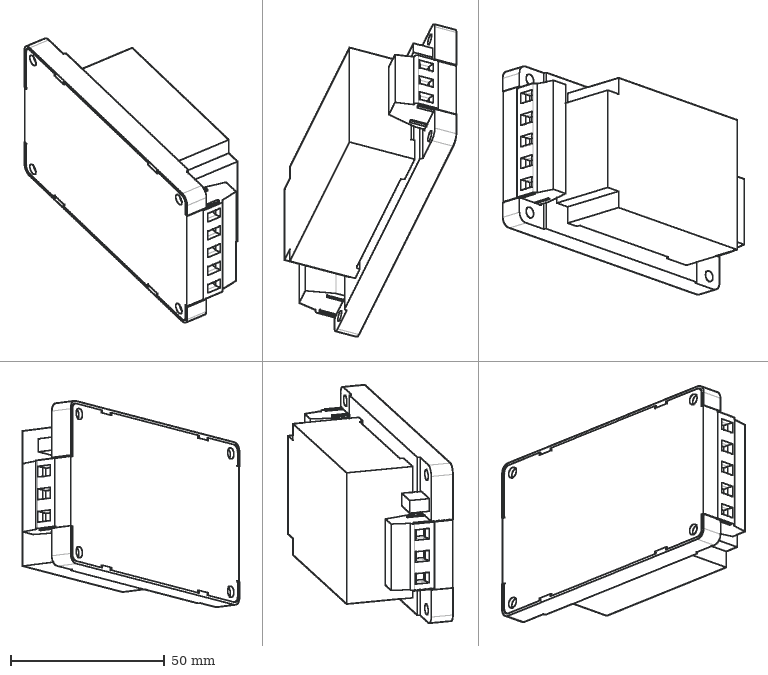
import cadquery as cq


LENGTH = 96.1
HEIGHT = 54.0
TOTAL_DEPTH = 31.0
CORNER_RADIUS = 3.0
END_DEPTH = 7.5
BASE_DEPTH = 8.4
RAISED_HALF_FOOT = 36.4
RAISED_HALF_TOP = 36.0

BOX_LEFT = -31.1
BOX_STEP = 25.85
BOX_RIGHT = 31.0
BOX_HEIGHT = 44.9
STEP_HEIGHT = 33.6
VENT_DEPTH = 1.25
VENT_HALF_FOOT = 21.6
VENT_HALF_TOP = 21.1
SLIT_HEIGHT = 26.9
SLIT_INSET = 1.0
SLIT_RIB_RADIUS = 0.6
SLIT_RIB_Z = 10.0

COVER_THICKNESS = 1.4
RIM = 0.9
SIDE_GAP = 0.3
COVER_CORNER_RADIUS = CORNER_RADIUS - RIM
APRON_INSET = 0.2
APRON_INNER = LENGTH / 2 - RIM - SIDE_GAP
APRON_DEPTH = 6.3
OPENING_GAP = 0.3
CLIP_X = 27.5
CLIP_NECK_WIDTH = 4.9
CLIP_HEAD_WIDTH = 5.7
CLIP_STEP = 0.43

SCREW_DIAMETER = 3.6
SCREW_X = 43.1
SCREW_Z = 23.0

POLE_PITCH = 7.5
END_WALL = 0.1
LEFT_POLES = 3
RIGHT_POLES = 5
LEFT_CENTER_Z = -3.1
RIGHT_CENTER_Z = 0.1
BLOCK_INNER = 37.7
BLOCK_TOP_INNER = 40.0
BLOCK_TOP_OUTER = 45.8
BLOCK_SHOULDER = 47.0
BLOCK_OUTER = LENGTH / 2
BLOCK_BACK = 20.6
INNER_SLOPE_START = 10.8
SHOULDER_DEPTH = 14.4
SHOULDER_RADIUS = BLOCK_OUTER - BLOCK_SHOULDER
TONGUE_XS = (39.9, 46.9)
TONGUE_WIDTH = 0.9
TONGUE_HEIGHT = 0.5
TONGUE_BACK = 13.1
WIRE_HOLE_Y = 10.6
MOUTH_SIZE = (4.9, 3.6)
BORE_SIZE = (3.2, 3.1)
FUNNEL_LENGTH = 1.4
BORE_LENGTH = 1.9

CONNECTOR_LEFT = -46.0
CONNECTOR_RIGHT = -37.6
CONNECTOR_BOTTOM = 11.4
CONNECTOR_TOP = 15.8
CONNECTOR_BACK = 14.2


def block(x0, x1, y0, y1, z0, z1):
    """Box between two corners, given as pairs of limits along X, Y and Z."""
    return cq.Workplane("XY").box(x1 - x0, y1 - y0, z1 - z0, centered=False).translate((x0, y0, z0))


def centered_block(length, y0, y1, height):
    """Box centered on X = 0 and Z = 0."""
    return block(-length / 2, length / 2, y0, y1, -height / 2, height / 2)


def trapezoid_bar(half_foot, half_top, y_foot, y_top, height):
    """Bar of trapezoid section, running along Z and centered on Z = 0."""
    return (
        cq.Workplane("XY", origin=(0, 0, -height / 2))
        .polyline([(-half_foot, y_foot), (half_foot, y_foot), (half_top, y_top), (-half_top, y_top)])
        .close()
        .extrude(height)
    )


def screw_holes(depth):
    """Four round cutters at the corners, starting at the front face."""
    return (
        cq.Workplane("XZ")
        .rect(2 * SCREW_X, 2 * SCREW_Z, forConstruction=True)
        .vertices()
        .circle(SCREW_DIAMETER / 2)
        .extrude(-depth)
    )


def block_limits(poles, center_z):
    """Bottom and top of a terminal block, without its tongues."""
    half = poles * POLE_PITCH / 2 + END_WALL
    return center_z - half, center_z + half


def apron(poles, center_z, outer):
    """Left-hand strip that closes the end opening in front of a terminal block."""
    bottom, top = block_limits(poles, center_z)
    return block(-outer, -APRON_INNER, 0, APRON_DEPTH, bottom - TONGUE_HEIGHT, top)


def block_opening(poles, center_z):
    """Left-hand cutter for a terminal block, its tongues and the apron in front of it."""
    bottom, top = block_limits(poles, center_z)
    z0 = bottom - TONGUE_HEIGHT
    z1 = top + OPENING_GAP
    seat = block(-BLOCK_OUTER, -BLOCK_INNER, APRON_DEPTH, BASE_DEPTH, z0, z1)
    return seat.union(block(-LENGTH / 2, -APRON_INNER, 0, APRON_DEPTH, z0, z1))


def right_hand(shape):
    """Half turn about the Y axis, from the left end to the right end."""
    return shape.rotate((0, 0, 0), (0, 1, 0), 180)


def clips():
    """Four T-shaped clips that reach from the rim into the cover."""
    rim_z = HEIGHT / 2 - RIM
    bodies = cq.Workplane("XZ")
    for x in (-CLIP_X, CLIP_X):
        for side in (-1, 1):
            neck_z = side * (rim_z - CLIP_STEP / 2)
            head_z = side * (rim_z - CLIP_STEP * 3 / 2)
            neck = cq.Workplane("XZ").center(x, neck_z).rect(CLIP_NECK_WIDTH, CLIP_STEP)
            head = cq.Workplane("XZ").center(x, head_z).rect(CLIP_HEAD_WIDTH, CLIP_STEP)
            bodies = bodies.union(neck.extrude(-COVER_THICKNESS)).union(head.extrude(-COVER_THICKNESS))
    return bodies


def cover_plate(length):
    """Rounded plate inside the rim."""
    plate = centered_block(length, 0, COVER_THICKNESS, HEIGHT - 2 * RIM)
    return plate.edges("|Y").fillet(COVER_CORNER_RADIUS)


def make_housing():
    body = centered_block(LENGTH, 0, END_DEPTH, HEIGHT).edges("|Y").fillet(CORNER_RADIUS)
    body = body.union(trapezoid_bar(RAISED_HALF_FOOT, RAISED_HALF_TOP, END_DEPTH, BASE_DEPTH, HEIGHT))

    half_box = BOX_HEIGHT / 2
    half_step = STEP_HEIGHT / 2
    body = body.union(block(BOX_LEFT, BOX_STEP, BASE_DEPTH, TOTAL_DEPTH, -half_box, half_box))
    body = body.union(block(BOX_STEP, BOX_RIGHT, BASE_DEPTH, TOTAL_DEPTH, -half_step, half_step))

    vent_back = BASE_DEPTH + VENT_DEPTH
    body = body.cut(trapezoid_bar(VENT_HALF_FOOT, VENT_HALF_TOP, BASE_DEPTH, vent_back, BOX_HEIGHT))

    half_slit = SLIT_HEIGHT / 2
    slit_floor = BOX_LEFT + SLIT_INSET
    body = body.cut(block(BOX_LEFT, slit_floor, BASE_DEPTH, vent_back, -half_slit, half_slit))
    rib = (
        cq.Workplane("XZ", origin=(slit_floor, BASE_DEPTH, SLIT_RIB_Z))
        .circle(SLIT_RIB_RADIUS)
        .extrude(-VENT_DEPTH)
    )
    body = body.union(rib)

    body = body.cut(cover_plate(LENGTH - 2 * RIM).cut(clips()))
    body = body.cut(block_opening(LEFT_POLES, LEFT_CENTER_Z))
    body = body.cut(right_hand(block_opening(RIGHT_POLES, -RIGHT_CENTER_Z)))
    return body.cut(screw_holes(END_DEPTH))


def make_cover():
    apron_outer = LENGTH / 2 - APRON_INSET
    plate = cover_plate(LENGTH - 2 * RIM - 2 * SIDE_GAP)
    for strip in (
        apron(LEFT_POLES, LEFT_CENTER_Z, apron_outer),
        right_hand(apron(RIGHT_POLES, -RIGHT_CENTER_Z, apron_outer)),
    ):
        plate = plate.union(strip)
    return plate.cut(clips()).cut(screw_holes(COVER_THICKNESS))


def wire_hole(z):
    """Cutter for a rectangular wire hole with a funnel mouth, entering from the left end face."""
    funnel = (
        cq.Workplane("YZ", origin=(-BLOCK_OUTER, WIRE_HOLE_Y, z))
        .rect(*MOUTH_SIZE)
        .workplane(offset=FUNNEL_LENGTH)
        .rect(*BORE_SIZE)
        .loft(ruled=True)
    )
    return funnel.faces(">X").workplane().rect(*BORE_SIZE).extrude(BORE_LENGTH)


def make_terminal_block(poles, center_z):
    """Left-hand terminal block with tongues below, matching grooves above and one wire hole per pole."""
    bottom, top = block_limits(poles, center_z)
    body = (
        cq.Workplane("XY", origin=(0, 0, bottom))
        .moveTo(-BLOCK_INNER, APRON_DEPTH)
        .lineTo(-BLOCK_INNER, INNER_SLOPE_START)
        .lineTo(-BLOCK_TOP_INNER, BLOCK_BACK)
        .lineTo(-BLOCK_TOP_OUTER, BLOCK_BACK)
        .lineTo(-BLOCK_SHOULDER, SHOULDER_DEPTH)
        .radiusArc((-BLOCK_OUTER, SHOULDER_DEPTH - SHOULDER_RADIUS), -SHOULDER_RADIUS)
        .lineTo(-BLOCK_OUTER, APRON_DEPTH)
        .close()
        .extrude(top - bottom)
    )
    for x in TONGUE_XS:
        x0 = -x - TONGUE_WIDTH / 2
        x1 = -x + TONGUE_WIDTH / 2
        body = body.union(block(x0, x1, APRON_DEPTH, TONGUE_BACK, bottom - TONGUE_HEIGHT, bottom))
        body = body.cut(block(x0, x1, APRON_DEPTH, TONGUE_BACK, top - TONGUE_HEIGHT, top))
    for pole in range(poles):
        z = center_z + (pole - (poles - 1) / 2) * POLE_PITCH
        body = body.cut(wire_hole(z))
    return body


def make_connector():
    return block(
        CONNECTOR_LEFT, CONNECTOR_RIGHT, END_DEPTH, CONNECTOR_BACK, CONNECTOR_BOTTOM, CONNECTOR_TOP
    )


housing = make_housing()
cover = make_cover()
left_terminal_block = make_terminal_block(LEFT_POLES, LEFT_CENTER_Z)
right_terminal_block = right_hand(make_terminal_block(RIGHT_POLES, -RIGHT_CENTER_Z))
connector = make_connector()

result = cq.Compound.makeCompound(
    [housing.val(), cover.val(), left_terminal_block.val(), right_terminal_block.val(), connector.val()]
)